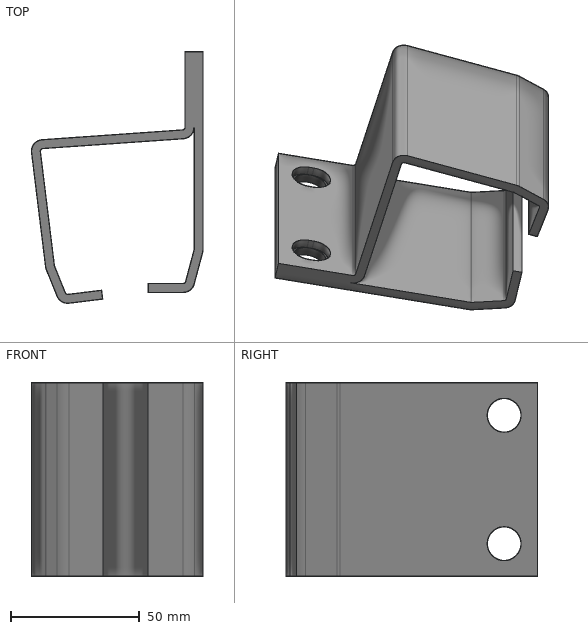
import cadquery as cq
import math

width = 66.55
depth = 97.6
height = 75.0

thickness = 3.5
inner_bend_radius = 1.0
outer_bend_radius = inner_bend_radius + thickness

front_bend_y = 20.3
front_lip_y = 4.2
front_lip_end_x = 45.3
shallow_bend = 15.0

roof_slope = 4.0
wall_lean = 7.0
flange_corner_y = 67.3
wall_bend_y = 13.7
wall_lip_length = 16.6

hole_diameter = 13.0
slot_length = 15.0
hole_y = 84.6
hole_spacing = 49.8


def step(point, angle, length):
    """Point reached from another one along a direction in degrees."""
    direction = math.radians(angle)
    return (point[0] + length * math.cos(direction), point[1] + length * math.sin(direction))


def heading(start, end):
    return math.degrees(math.atan2(end[1] - start[1], end[0] - start[0]))


def corner_beyond_bend(before, after):
    """Sharp outer corner of a left-turning bend, relative to the centre of its radius."""
    half_turn = math.radians((after - before) / 2)
    return step((0, 0), (before + after) / 2 - 90, outer_bend_radius / math.cos(half_turn))


def bent_sheet(path):
    """Sheet whose one face follows the path, with the material on the left of the path."""
    headings = [heading(start, end) for start, end in zip(path, path[1:])]
    turns = [after - before for before, after in zip(headings, headings[1:])]
    turns = [(turn + 180) % 360 - 180 for turn in turns]

    opposite = [step(path[0], headings[0] + 90, thickness)]
    for corner, before, turn in zip(path[1:], headings, turns):
        mitre = thickness / math.cos(math.radians(turn / 2))
        opposite.append(step(corner, before + turn / 2 + 90, mitre))
    opposite.append(step(path[-1], headings[-1] + 90, thickness))

    sheet = cq.Workplane("XY").polyline(path + opposite[::-1]).close().extrude(height)

    for near, far, turn in zip(path[1:-1], opposite[1:-1], turns):
        inside, outside = (far, near) if turn > 0 else (near, far)
        for (x, y), radius in ((inside, inner_bend_radius), (outside, outer_bend_radius)):
            edge = cq.NearestToPointSelector((x, y, height / 2))
            sheet = sheet.edges("|Z").edges(edge).fillet(radius)
    return sheet


def straight_sheet():
    bend = (width, front_bend_y)
    drop = front_bend_y - front_lip_y
    foot = (width - drop * math.tan(math.radians(shallow_bend)), front_lip_y)
    path = [(front_lip_end_x, front_lip_y), foot, bend, (width, depth)]
    return bent_sheet(path)


def folded_sheet():
    roof_heading = 180 + roof_slope
    wall_heading = 270 + wall_lean
    foot_heading = wall_heading + shallow_bend
    lip_heading = 360 + wall_lean

    flange_corner = (width - 2 * thickness, flange_corner_y)
    wall_top_x = outer_bend_radius + corner_beyond_bend(roof_heading, wall_heading)[0]
    roof_run = flange_corner[0] - wall_top_x
    wall_top = step(flange_corner, roof_heading, roof_run / math.cos(math.radians(roof_slope)))

    wall_drop = wall_top[1] - wall_bend_y
    wall_bend = step(wall_top, wall_heading, wall_drop / math.cos(math.radians(wall_lean)))

    foot_y = outer_bend_radius + corner_beyond_bend(foot_heading, lip_heading)[1]
    foot_lean = math.radians(wall_lean + shallow_bend)
    foot = step(wall_bend, foot_heading, (wall_bend_y - foot_y) / math.cos(foot_lean))
    lip_end = step(foot, lip_heading, wall_lip_length)

    flange_top = (flange_corner[0], depth)
    return bent_sheet([flange_top, flange_corner, wall_top, wall_bend, foot, lip_end])


def flange_hole_centres(start_x):
    """Both hole centres on a plane facing +X at the given X."""
    centres = [(hole_y, height / 2 + side * hole_spacing / 2) for side in (-1, 1)]
    return cq.Workplane("YZ", origin=(start_x, 0, 0)).pushPoints(centres)


def flange_slots():
    """Slots along Y through the flange of the folded sheet."""
    slots = flange_hole_centres(width - 2 * thickness)
    return slots.slot2D(slot_length, hole_diameter).extrude(thickness)


def flange_bores():
    """Round holes through the straight sheet behind the slots."""
    bores = flange_hole_centres(width - thickness)
    return bores.circle(hole_diameter / 2).extrude(thickness)


result = folded_sheet().union(straight_sheet())
result = result.cut(flange_slots()).cut(flange_bores())